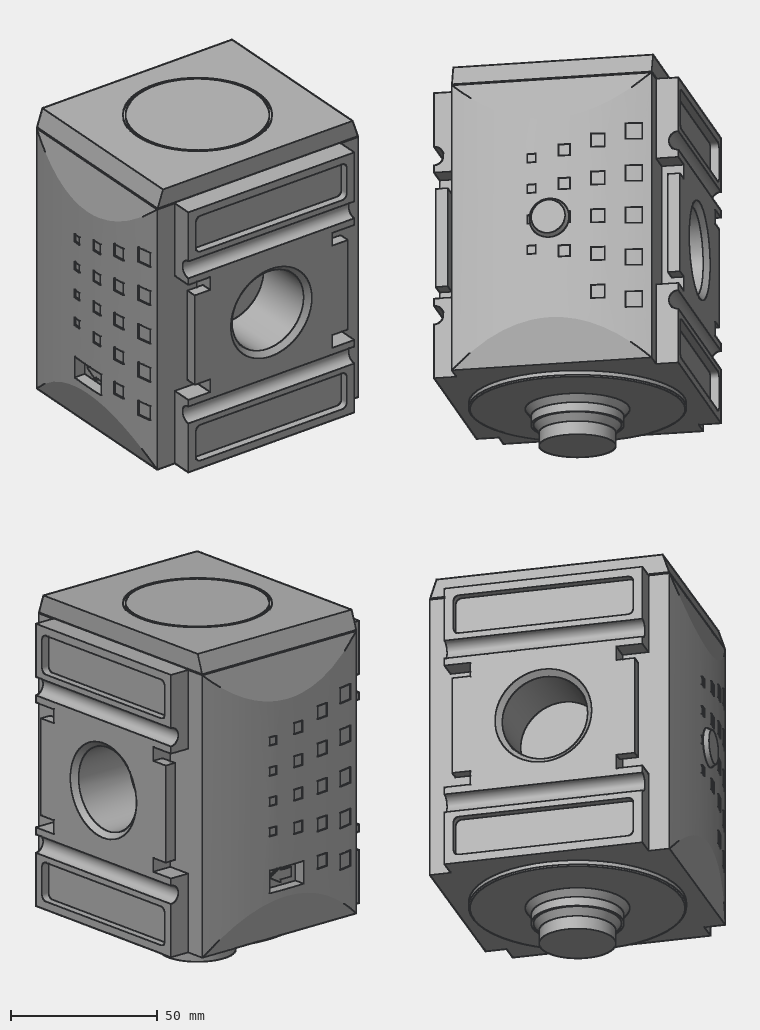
import cadquery as cq

body_half_width = 34.75
body_half_height = 50.9
body_edge_y = 42.4
bow_y = 46.45
bow_flat_half_height = 35.5

cap_top_z = 58.0
cap_top_y = 40.0
cap_seam_chamfer = 0.4
ring_outer_radius = 25.4
ring_inner_radius = 24.5
ring_depth = 0.5

flange_x = 42.5
flange_half_depth = 35.0
clamp_recess_half_height = 22.5
clamp_neck_half_depth = 25.8
clamp_plate_half_depth = 32.3
clamp_plate_half_height = 17.5
clamp_plate_thickness = 4.2
groove_z = 28.4
groove_radius = 3.3
pocket_z = 40.9
pocket_length = 63.6
pocket_height = 14.0
pocket_corner_radius = 2.0
pocket_depth = 3.0

port_radius = 15.1
port_chamfer = 2.0
port_depth = 25.0

dimple_columns = [
    (-6.2, 3.0, 10.9, (-1, 2)),
    (5.2, 4.0, 12.0, (-1, 2)),
    (16.7, 4.7, 13.5, (-2, 2)),
    (28.8, 5.6, 15.0, (-2, 2)),
]
dimple_depth = 0.5

window_width = 15.2
window_height = 8.2
window_z = -28.8
window_floor_y = 42.0
arrow_length = 9.8
arrow_head_length = 5.0
arrow_head_half_width = 2.8
arrow_shaft_half_width = 1.7
arrow_height = 1.0

plug_tip_y = 48.19
plug_base_radius = 6.9
plug_tip_radius = 5.9

neck_radius = 29.8
disc_radius = 37.1
disc_chamfer = 0.5
disc_top_z = -51.9
disc_bottom_z = -53.9
collar_cone_radius = 17.8
collar_radius = 15.8
collar_top_z = -56.4
collar_bottom_z = -59.6
outlet_cone_radius = 15.0
outlet_radius = 13.1
outlet_top_z = -62.3
outlet_bottom_z = -67.0


def block(x_range, y_range, z_range):
    """Axis-aligned box between the given limits."""
    size = [high - low for low, high in (x_range, y_range, z_range)]
    return cq.Workplane("XY").box(*size, centered=False).translate((x_range[0], y_range[0], z_range[0]))


def bowed_prism(inset=0.0):
    """Full-height prism bowed at front and back, with both bows moved inward by the inset."""
    edge_y = body_edge_y - inset
    crest_y = bow_y - inset
    return (
        cq.Workplane("XY", origin=(0, 0, -body_half_height))
        .moveTo(-body_half_width, -edge_y)
        .threePointArc((0, -crest_y), (body_half_width, -edge_y))
        .lineTo(body_half_width, edge_y)
        .threePointArc((0, crest_y), (-body_half_width, edge_y))
        .close()
        .extrude(2 * body_half_height)
    )


def bowed_block():
    """Block bowed across X, with sloped facets above and below each bow."""
    faceted_side = (
        cq.Workplane("YZ", origin=(-body_half_width, 0, 0))
        .polyline([
            (-body_edge_y, -body_half_height),
            (body_edge_y, -body_half_height),
            (bow_y, -bow_flat_half_height),
            (bow_y, bow_flat_half_height),
            (body_edge_y, body_half_height),
            (-body_edge_y, body_half_height),
            (-bow_y, bow_flat_half_height),
            (-bow_y, -bow_flat_half_height),
        ])
        .close()
        .extrude(2 * body_half_width)
    )
    return bowed_prism().intersect(faceted_side)


def flange():
    """Flange on the +X side with its clamp recess, neck and plate, round grooves and shallow pockets."""
    inner_x = body_half_width
    part = block(
        (inner_x, flange_x), (-flange_half_depth, flange_half_depth), (-body_half_height, body_half_height)
    )
    recess = block(
        (inner_x, flange_x),
        (-flange_half_depth, flange_half_depth),
        (-clamp_recess_half_height, clamp_recess_half_height),
    )
    neck = block(
        (inner_x, flange_x),
        (-clamp_neck_half_depth, clamp_neck_half_depth),
        (-clamp_recess_half_height, clamp_recess_half_height),
    )
    plate = block(
        (flange_x - clamp_plate_thickness, flange_x),
        (-clamp_plate_half_depth, clamp_plate_half_depth),
        (-clamp_plate_half_height, clamp_plate_half_height),
    )
    part = part.cut(recess).union(neck).union(plate)

    for side in (-1, 1):
        groove = (
            cq.Workplane("XZ", origin=(flange_x, flange_half_depth, side * groove_z))
            .circle(groove_radius)
            .extrude(2 * flange_half_depth)
        )
        pocket = (
            cq.Workplane("YZ", origin=(flange_x - pocket_depth, 0, side * pocket_z))
            .rect(pocket_length, pocket_height)
            .extrude(pocket_depth)
            .edges("|X")
            .fillet(pocket_corner_radius)
        )
        part = part.cut(groove).cut(pocket)
    return part


def port():
    """Blind round port entering from the +X side, with a chamfered mouth."""
    bore = cq.Workplane("YZ", origin=(flange_x - port_depth, 0, 0)).circle(port_radius).extrude(port_depth)
    mouth = (
        cq.Workplane("YZ", origin=(flange_x, 0, 0))
        .circle(port_radius + port_chamfer)
        .workplane(offset=-port_chamfer)
        .circle(port_radius)
        .loft(ruled=True)
    )
    return bore.union(mouth)


def dimple_cutters():
    """Square tiles that sink into the front bow to an even depth."""
    core = bowed_prism(inset=dimple_depth)
    cutters = []
    for x, side, pitch, (first_row, last_row) in dimple_columns:
        for row in range(first_row, last_row + 1):
            z = row * pitch
            prism = block(
                (x - side / 2, x + side / 2),
                (-bow_y, 0),
                (z - side / 2, z + side / 2),
            )
            cutters.append(prism.cut(core))
    return cutters


def arrow_window():
    """Deep rectangular window in the front face."""
    return block(
        (-window_width / 2, window_width / 2),
        (-bow_y, -window_floor_y),
        (window_z - window_height / 2, window_z + window_height / 2),
    )


def arrow():
    """Raised arrow on the window floor, pointing to -X."""
    tip_x = -arrow_length / 2
    head_x = tip_x + arrow_head_length
    tail_x = arrow_length / 2
    return (
        cq.Workplane("XZ", origin=(0, -window_floor_y, window_z))
        .polyline([
            (tip_x, 0),
            (head_x, arrow_head_half_width),
            (head_x, arrow_shaft_half_width),
            (tail_x, arrow_shaft_half_width),
            (tail_x, -arrow_shaft_half_width),
            (head_x, -arrow_shaft_half_width),
            (head_x, -arrow_head_half_width),
        ])
        .close()
        .extrude(arrow_height)
    )


def plug():
    """Tapered round plug standing out of the back face."""
    return (
        cq.Workplane("XY")
        .polyline([
            (0, body_edge_y),
            (plug_base_radius, body_edge_y),
            (plug_base_radius, bow_y),
            (plug_tip_radius, plug_tip_y),
            (0, plug_tip_y),
        ])
        .close()
        .revolve(360, (0, 0, 0), (0, 1, 0))
    )


def bowl_stem():
    """Turned neck, disc, collar and outlet below the housing."""
    return (
        cq.Workplane("XZ")
        .polyline([
            (0, -body_half_height),
            (neck_radius, -body_half_height),
            (neck_radius, disc_top_z),
            (disc_radius, disc_top_z),
            (disc_radius, disc_bottom_z + disc_chamfer),
            (disc_radius - disc_chamfer, disc_bottom_z),
            (collar_cone_radius, disc_bottom_z),
            (collar_radius, collar_top_z),
            (collar_radius, collar_bottom_z),
            (outlet_cone_radius, collar_bottom_z),
            (outlet_radius, outlet_top_z),
            (outlet_radius, outlet_bottom_z),
            (0, outlet_bottom_z),
        ])
        .close()
        .revolve(360, (0, 0, 0), (0, 1, 0))
    )


def make_housing():
    """Housing with flanges, ports, dimples, arrow window, plug and bowl stem."""
    part = bowed_block()
    half_turn = ((0, 0, 0), (0, 0, 1), 180)
    for shape in (flange(), flange().rotate(*half_turn)):
        part = part.union(shape)
    for shape in (port(), port().rotate(*half_turn)):
        part = part.cut(shape)
    for cutter in dimple_cutters():
        part = part.cut(cutter).cut(cutter.rotate(*half_turn))
    part = part.cut(arrow_window()).union(arrow())
    return part.union(plug()).union(bowl_stem())


def make_cap():
    """Cap with sloped front and back, a chamfered lower rim and a thin ring groove in its top."""
    part = (
        cq.Workplane("YZ", origin=(-body_half_width, 0, 0))
        .polyline([
            (-body_edge_y, body_half_height),
            (body_edge_y, body_half_height),
            (cap_top_y, cap_top_z),
            (-cap_top_y, cap_top_z),
        ])
        .close()
        .extrude(2 * body_half_width)
    )
    ring_groove = (
        cq.Workplane("XY", origin=(0, 0, cap_top_z - ring_depth))
        .circle(ring_outer_radius)
        .circle(ring_inner_radius)
        .extrude(ring_depth)
    )
    part = part.faces("<Z").edges().chamfer(cap_seam_chamfer)
    return part.cut(ring_groove)


housing = make_housing()
cap = make_cap()
result = cq.Compound.makeCompound([housing.val(), cap.val()])